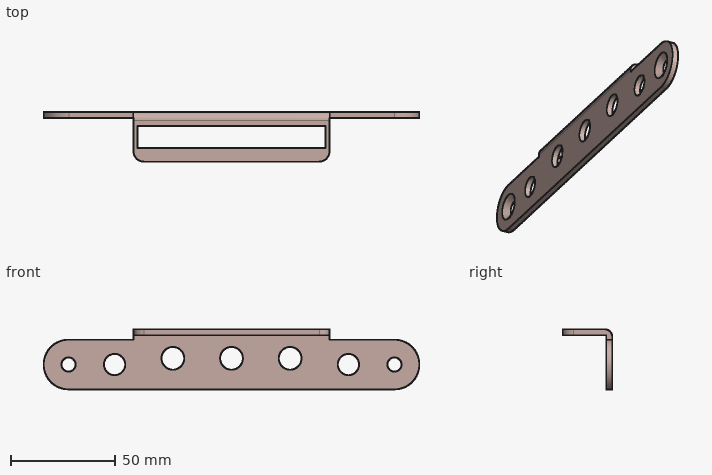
import cadquery as cq
import math

length = 180.0
total_height = 29.0
total_depth = 24.0
thickness = 3.0

strip_height = 24.0
end_radius = strip_height / 2

flange_width = 94.0
flange_corner_radius = 5.0
bend_outer_radius = 4.0

slot_length = 90.0
slot_width = 10.5
slot_center_y = -12.0

mount_hole_diameter = 6.7
countersink_angle = 90.0
mount_hole_x = length / 2 - end_radius
outer_hole_diameter = 10.0
outer_hole_x = 56.0
inner_hole_diameter = 10.8
inner_hole_pitch = 28.0
inner_hole_z = 15.0


def make_strip():
    """Upright strip: back face on Y = 0, bottom edge on Z = 0."""
    return (
        cq.Workplane("XZ")
        .center(0, end_radius)
        .slot2D(length, strip_height)
        .extrude(thickness)
    )


def make_angle():
    """Bent L section: the middle of the strip and the flange above it."""
    underside_z = total_height - thickness
    angle = (
        cq.Workplane("YZ")
        .polyline([
            (0, 0),
            (0, total_height),
            (-total_depth, total_height),
            (-total_depth, underside_z),
            (-thickness, underside_z),
            (-thickness, 0),
        ])
        .close()
        .extrude(flange_width / 2, both=True)
    )
    angle = angle.edges("|X and >Y and >Z").fillet(bend_outer_radius)
    return angle.edges("|Z and <Y").fillet(flange_corner_radius)


def make_flange_slot():
    """Rectangular cutter for the slot."""
    return (
        cq.Workplane("XY")
        .workplane(offset=strip_height)
        .center(0, slot_center_y)
        .rect(slot_length, slot_width)
        .extrude(total_height - strip_height)
    )


def make_holes(positions, diameter):
    """Round cutters through the strip at the given (x, z) positions."""
    return cq.Workplane("XZ").pushPoints(positions).circle(diameter / 2).extrude(thickness)


def make_countersunk_holes(positions, front_diameter):
    """Conical cutters that widen from the front face to the back face."""
    spread = thickness * math.tan(math.radians(countersink_angle / 2))
    front_radius = front_diameter / 2
    return (
        cq.Workplane("XZ")
        .pushPoints(positions)
        .circle(front_radius + spread)
        .extrude(thickness, taper=countersink_angle / 2)
    )


mount_positions = [(side * mount_hole_x, end_radius) for side in (-1, 1)]
outer_positions = [(side * outer_hole_x, end_radius) for side in (-1, 1)]
inner_positions = [(step * inner_hole_pitch, inner_hole_z) for step in (-1, 0, 1)]

result = (
    make_strip()
    .union(make_angle())
    .cut(make_flange_slot())
    .cut(make_countersunk_holes(mount_positions, mount_hole_diameter))
    .cut(make_holes(outer_positions, outer_hole_diameter))
    .cut(make_holes(inner_positions, inner_hole_diameter))
)